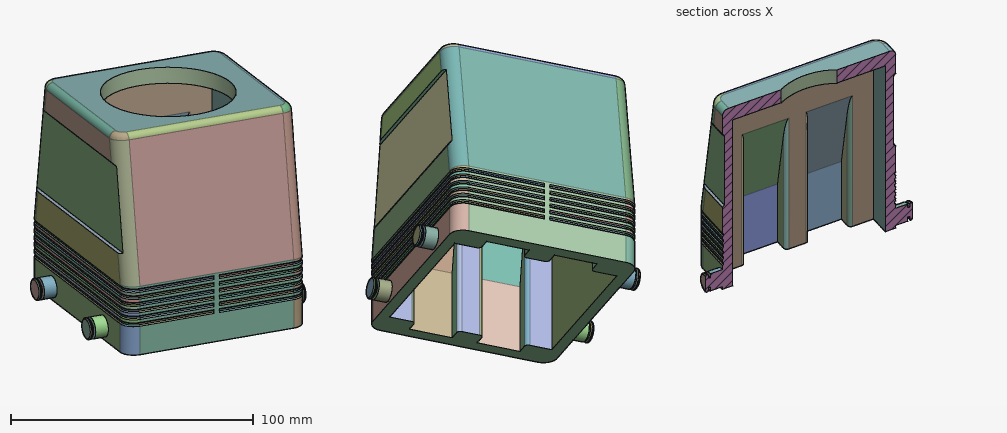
import cadquery as cq
import math

length = 93.5
width = 82.4
height = 94.0
taper_start = 30.3
top_length = 71.9
corner_radius = 6.1
top_fillet = 3

entry_diameter = 55.9
roof_thickness = 7.1
cavity_length = 68.95
cavity_width = 72.5

pocket_top = 68.6
pocket_inner_y = 3.9
pocket_outer_y = 26.4
mouth_radius = 1.7

recess_bottom = 43.1
recess_top = 81.1
recess_depth = 0.9

groove_count = 6
groove_pitch = 3.0
first_groove_z = 13.5
groove_width = 1.7
groove_depth = 0.5
bridge_width = 2.6

pin_x = 24.6
pin_z = 6.0
pin_diameter = 9.3
neck_diameter = 5.2
pin_span = 98.5
pin_embed = 2
shoulder_y = 47.0
head_start_y = 47.8
head_chamfer = 0.5

wall_slope = (length - top_length) / 2 / (height - taper_start)


def make_outer_body():
    """Outer shape: tapered profile along Y with rounded corners and top rim."""
    profile = [
        (-length / 2, 0),
        (length / 2, 0),
        (length / 2, taper_start),
        (top_length / 2, height),
        (-top_length / 2, height),
        (-length / 2, taper_start),
    ]
    body = cq.Workplane("XZ").polyline(profile).close().extrude(width / 2, both=True)
    body = body.edges("not(|X or |Y)").fillet(corner_radius)
    return body.faces(">Z").edges().fillet(top_fillet)


def make_pocket():
    """One pocket on the +X, -Y side: its mouth is rounded and its floor leans."""
    top_x = cavity_length / 2
    bottom_x = top_x + wall_slope * (pocket_top - taper_start)
    round_x = top_x + mouth_radius
    arc_inset = mouth_radius * (1 - math.sqrt(0.5))
    arc_mid_x = top_x + arc_inset
    outer_side_y = mouth_radius - pocket_outer_y
    inner_side_y = -mouth_radius - pocket_inner_y
    plan = (
        cq.Workplane("XY")
        .moveTo(0, -pocket_outer_y)
        .lineTo(top_x, -pocket_outer_y)
        .threePointArc((arc_mid_x, outer_side_y - arc_inset), (round_x, outer_side_y))
        .lineTo(bottom_x, outer_side_y)
        .lineTo(bottom_x, inner_side_y)
        .lineTo(round_x, inner_side_y)
        .threePointArc((arc_mid_x, inner_side_y + arc_inset), (top_x, -pocket_inner_y))
        .lineTo(0, -pocket_inner_y)
        .close()
        .extrude(pocket_top)
    )
    side_profile = [
        (0, 0),
        (bottom_x, 0),
        (bottom_x, taper_start),
        (top_x, pocket_top),
        (0, pocket_top),
    ]
    wedge = cq.Workplane("XZ").polyline(side_profile).close().extrude(pocket_outer_y)
    return plan.intersect(wedge)


def make_cavity():
    """Box cavity open at the bottom, with sloped pockets and the round cable entry."""
    cavity_height = height - roof_thickness
    cavity = cq.Workplane("XY").box(cavity_length, cavity_width, cavity_height, centered=(True, True, False))
    entry = cq.Workplane("XY").circle(entry_diameter / 2).extrude(height)

    pocket = make_pocket()
    front_pockets = pocket.union(pocket.mirror("YZ"))
    return cavity.union(entry).union(front_pockets).union(front_pockets.mirror("XZ"))


def make_face_recess():
    """Cutter for the front recess, with 45 degree bevels along its long edges."""
    face_y = -width / 2
    floor_y = face_y + recess_depth
    profile = [
        (face_y, recess_bottom),
        (floor_y, recess_bottom + recess_depth),
        (floor_y, recess_top - recess_depth),
        (face_y, recess_top),
    ]
    return cq.Workplane("YZ").polyline(profile).close().extrude(length / 2, both=True)


def band_outline(z, inset):
    """Rounded outline of the base band at height z, moved inwards by inset."""
    return (
        cq.Workplane("XY", origin=(0, 0, z))
        .sketch()
        .rect(length - 2 * inset, width - 2 * inset)
        .vertices()
        .fillet(corner_radius - inset)
        .finalize()
    )


def make_groove(center_z):
    """Ring cutter for one groove with 45 degree flanks, broken at the end bridges."""
    bottom = center_z - groove_width / 2
    floor_width = groove_width - 2 * groove_depth
    lower_flank = band_outline(bottom, 0).extrude(groove_depth, taper=45)
    floor = band_outline(bottom + groove_depth, groove_depth).extrude(floor_width)
    upper_flank = band_outline(bottom + groove_width, 0).extrude(-groove_depth, taper=45)
    bridge = cq.Workplane("XY", origin=(0, 0, center_z)).box(length, bridge_width, groove_width)
    ring = band_outline(bottom, 0).extrude(groove_width)
    return ring.cut(lower_flank).cut(floor).cut(upper_flank).cut(bridge)


def make_pin(x):
    """Locking pin pointing outwards along Y: shank, narrow neck and bevelled head."""
    root_y = width / 2 - pin_embed
    head_y = pin_span / 2
    radius = pin_diameter / 2
    neck_radius = neck_diameter / 2
    half_profile = [
        (0, root_y),
        (radius, root_y),
        (radius, shoulder_y),
        (neck_radius, shoulder_y),
        (neck_radius, head_start_y),
        (radius - head_chamfer, head_start_y),
        (radius, head_start_y + head_chamfer),
        (radius, head_y - head_chamfer),
        (radius - head_chamfer, head_y),
        (0, head_y),
    ]
    return (
        cq.Workplane("XZ", origin=(x, 0, pin_z))
        .transformed(rotate=(90, 0, 0))
        .polyline(half_profile)
        .close()
        .revolve(360, (0, 0, 0), (0, 1, 0))
    )


hood = make_outer_body().cut(make_cavity())

front_recess = make_face_recess()
hood = hood.cut(front_recess).cut(front_recess.mirror("XZ"))

for index in range(groove_count):
    hood = hood.cut(make_groove(first_groove_z + index * groove_pitch))

for x in (-pin_x, pin_x):
    pin = make_pin(x)
    hood = hood.union(pin).union(pin.mirror("XZ"))

result = hood